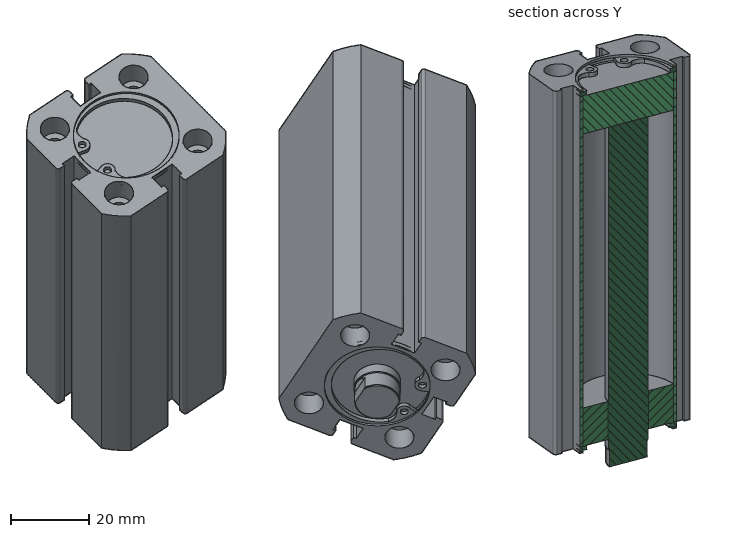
import cadquery as cq
import math

housing_width = 41.0
housing_length = 103.0
corner_radius = 25.5
bore_radius = 13.5

hole_offset = 13.0
hole_radius = 2.1
counterbore_radius = 3.7
counterbore_depth = 7.0

slot_floor = 14.5
slot_mouth_width = 5.1
slot_channel_width = 6.6
lip_thickness = 2.2
lip_rounding = 0.8
slot_directions = (0, 180, 270)

groove_radius = 14.4
ring_thickness = 1.2
ring_recess = 0.7
ring_inner_radius = 12.4
ring_inner_shift = -0.8
ear_x = 5.1
ear_y = -10.4
ear_radius = 2.0
ear_hole_radius = 1.0
arm_start = (10.6, -7.5)
arm_middle = (8.2, -9.0)
arm_end = (6.3, -8.8)

cover_thickness = 10.9
cover_depth = ring_recess + ring_thickness

rod_radius = 6.0
rod_end_radius = 5.8
rod_projection = 6.0
shoulder_drop = 1.2
flat_offset = 5.0
flat_drop = 2.1
tip_chamfer = 0.2

half_width = housing_width / 2

ear_distance = math.hypot(ear_x, ear_y)
gap_half_angle = math.atan2(ear_x, -ear_y) - math.asin(ear_radius / ear_distance)
gap_tangent_distance = math.sqrt(ear_distance**2 - ear_radius**2)


def make_slot(direction):
    """Cutter for one full-length slot, in the side that faces `direction` degrees from +X."""
    half_mouth = slot_mouth_width / 2
    half_channel = slot_channel_width / 2
    lip_inside = half_width - lip_thickness
    arc_inset = lip_rounding * (1 - math.sqrt(0.5))
    slot = (
        cq.Workplane("XY")
        .moveTo(slot_floor, half_channel)
        .lineTo(lip_inside, half_channel)
        .lineTo(lip_inside, half_mouth)
        .lineTo(half_width - lip_rounding, half_mouth)
        .threePointArc(
            (half_width - arc_inset, half_mouth + arc_inset),
            (half_width, half_mouth + lip_rounding),
        )
        .lineTo(half_width, -half_mouth - lip_rounding)
        .threePointArc(
            (half_width - arc_inset, -half_mouth - arc_inset),
            (half_width - lip_rounding, -half_mouth),
        )
        .lineTo(lip_inside, -half_mouth)
        .lineTo(lip_inside, -half_channel)
        .lineTo(slot_floor, -half_channel)
        .close()
        .extrude(housing_length)
    )
    return slot.rotate((0, 0, 0), (0, 0, 1), direction)


def make_housing():
    body = cq.Workplane("XY").rect(housing_width, housing_width).extrude(housing_length)
    body = body.intersect(cq.Workplane("XY").circle(corner_radius).extrude(housing_length))
    body = body.cut(cq.Workplane("XY").circle(bore_radius).extrude(housing_length))

    for direction in slot_directions:
        body = body.cut(make_slot(direction))

    hole_grid = cq.Workplane("XY").rect(2 * hole_offset, 2 * hole_offset, forConstruction=True).vertices()
    body = body.cut(hole_grid.circle(hole_radius).extrude(housing_length))
    counterbores = hole_grid.circle(counterbore_radius).extrude(counterbore_depth)
    body = body.cut(counterbores)
    body = body.cut(counterbores.translate((0, 0, housing_length - counterbore_depth)))

    groove = cq.Workplane("XY").circle(groove_radius).extrude(ring_thickness)
    for groove_bottom in (ring_recess, housing_length - cover_depth):
        body = body.cut(groove.translate((0, 0, groove_bottom)))
    return body


def make_ear(side):
    """Solid ear at one ring end and the arm that joins it to the band; side is -1 or 1."""
    centre = (side * ear_x, ear_y)
    gap_tangent = (
        side * gap_tangent_distance * math.sin(gap_half_angle),
        -gap_tangent_distance * math.cos(gap_half_angle),
    )
    outer_scale = 1.5
    arm = (
        cq.Workplane("XY")
        .moveTo(side * arm_start[0], arm_start[1])
        .threePointArc((side * arm_middle[0], arm_middle[1]), (side * arm_end[0], arm_end[1]))
        .lineTo(*centre)
        .lineTo(*gap_tangent)
        .lineTo(outer_scale * gap_tangent[0], outer_scale * gap_tangent[1])
        .lineTo(side * outer_scale * arm_start[0], outer_scale * arm_start[1])
        .close()
        .extrude(ring_thickness)
    )
    return arm.union(cq.Workplane("XY").center(*centre).circle(ear_radius).extrude(ring_thickness))


def make_ring(bottom):
    """Internal retaining ring: tapered band, open toward -Y, with an eyed ear at each end."""
    disc = cq.Workplane("XY").circle(groove_radius).extrude(ring_thickness)
    opening = cq.Workplane("XY").center(0, ring_inner_shift).circle(ring_inner_radius).extrude(ring_thickness)
    ring = disc.cut(opening)
    for side in (-1, 1):
        ring = ring.union(make_ear(side).intersect(disc))

    gap_reach = 2 * groove_radius
    gap_corner = gap_reach * math.tan(gap_half_angle)
    gap_corners = [(0, 0), (gap_corner, -gap_reach), (-gap_corner, -gap_reach)]
    ring = ring.cut(cq.Workplane("XY").polyline(gap_corners).close().extrude(ring_thickness))

    eye_centres = [(-ear_x, ear_y), (ear_x, ear_y)]
    ring = ring.cut(cq.Workplane("XY").pushPoints(eye_centres).circle(ear_hole_radius).extrude(ring_thickness))
    return ring.translate((0, 0, bottom))


def make_head_cover():
    bottom = housing_length - cover_depth - cover_thickness
    return cq.Workplane("XY").workplane(offset=bottom).circle(bore_radius).extrude(cover_thickness)


def make_rod_cover():
    cover = cq.Workplane("XY").workplane(offset=cover_depth).circle(bore_radius).circle(rod_radius)
    return cover.extrude(cover_thickness)


def make_rod():
    top = housing_length - cover_depth - cover_thickness
    shank = (
        cq.Workplane("XY")
        .workplane(offset=-shoulder_drop)
        .circle(rod_radius)
        .extrude(top + shoulder_drop)
        .faces("<Z")
        .chamfer(rod_radius - rod_end_radius)
    )
    end = (
        cq.Workplane("XY")
        .workplane(offset=-rod_projection)
        .circle(rod_end_radius)
        .extrude(rod_projection)
        .faces("<Z")
        .chamfer(tip_chamfer)
    )

    runout = flat_drop - shoulder_drop
    flat_section = [
        (flat_offset, -rod_projection),
        (flat_offset, -flat_drop),
        (flat_offset + runout, -shoulder_drop),
        (rod_radius + runout, -shoulder_drop),
        (rod_radius + runout, -rod_projection),
    ]
    flat = cq.Workplane("YZ").polyline(flat_section).close().extrude(rod_radius, both=True)
    end = end.cut(flat).cut(flat.mirror("XZ"))
    return shank.union(end)


housing = make_housing()
rings = [make_ring(bottom) for bottom in (ring_recess, housing_length - cover_depth)]
head_cover = make_head_cover()
rod_cover = make_rod_cover()
rod = make_rod()

result = cq.Compound.makeCompound(
    [
        housing.val(),
        *[ring.val() for ring in rings],
        head_cover.val(),
        rod_cover.val(),
        rod.val(),
    ]
)